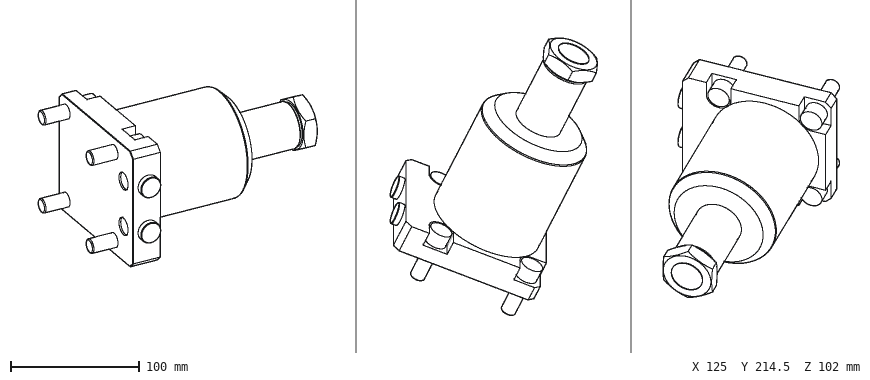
import cadquery as cq
import math


flange_height = 102.0
flange_left = -flange_height / 2
flange_right = 69.0
flange_thickness = 24.5
corner_chamfer = 5.0
front_edge_chamfer = 0.5

screw_offset = 38.8
shank_radius = 6.0
shank_tip_y = -22.3
shank_tip_chamfer = 0.9
head_radius = 9.0
pocket_radius = 10.3
pocket_depth = 11.8
pocket_floor_y = flange_thickness - pocket_depth

port_spacing = 40.0
port_x = 53.8
port_radius = 7.3
port_depth = 1.5
plug_y = 13.5
plug_diameter = 17.8
plug_end_x = 74.0
plug_chamfer = 0.54

barrel_radius = 45.0
barrel_end_y = 123.8
barrel_cone_length = 7.5
barrel_ease_length = 1.0
barrel_ease_depth = 0.5
barrel_end_radius = 37.3

rod_radius = 19.0
rod_end_y = 177.4
rod_chamfer = 0.9
neck_radius = rod_radius - rod_chamfer
hex_start_y = 179.0
hex_end_y = 191.5
hex_flats = 41.0
hex_face_radius = 20.0
hex_chamfer_angle = 30
tip_radius = 13.0
tip_end_y = 192.2

screw_centers = [(x, z) for x in (-screw_offset, screw_offset) for z in (-screw_offset, screw_offset)]
port_heights = (-port_spacing / 2, port_spacing / 2)


def cylinder_y(radius, start_y, end_y, x=0, z=0):
    """Solid cylinder parallel to Y between two Y positions."""
    plane = cq.Plane(origin=(x, start_y, z), xDir=(1, 0, 0), normal=(0, 1, 0))
    return cq.Workplane(plane).circle(radius).extrude(end_y - start_y)


def box_between(low, high):
    """Box spanning two opposite corners."""
    size = [b - a for a, b in zip(low, high)]
    return cq.Workplane("XY").box(*size, centered=False).translate(low)


def revolve_profile(points):
    """Turn an outline of (radius, y) points about the Y axis."""
    return cq.Workplane("XY").polyline(points).close().revolve(360, (0, 0, 0), (0, 1, 0))


def make_flange_plate():
    plate = box_between((flange_left, 0, -flange_height / 2), (flange_right, flange_thickness, flange_height / 2))
    plate = plate.edges("|Y").chamfer(corner_chamfer)
    return plate.faces("<Y").chamfer(front_edge_chamfer)


def make_screw_pocket(x, z):
    """Round-bottomed pocket open to the nearest Z side, and also to the -X side for the left screws."""
    z_side = math.copysign(flange_height / 2, z)
    z_low, z_high = sorted((z, z_side))
    pocket = cylinder_y(pocket_radius, pocket_floor_y, flange_thickness, x, z)
    pocket = pocket.union(
        box_between((x - pocket_radius, pocket_floor_y, z_low), (x + pocket_radius, flange_thickness, z_high))
    )
    if x < 0:
        z_inner = z - math.copysign(pocket_radius, z)
        z_low, z_high = sorted((z_inner, z_side))
        pocket = pocket.union(box_between((flange_left, pocket_floor_y, z_low), (x, flange_thickness, z_high)))
    return pocket


def make_barrel():
    cone_start_y = barrel_end_y - barrel_cone_length
    return revolve_profile([
        (0, flange_thickness),
        (barrel_radius, flange_thickness),
        (barrel_radius, cone_start_y - barrel_ease_length),
        (barrel_radius - barrel_ease_depth, cone_start_y),
        (barrel_end_radius, barrel_end_y),
        (0, barrel_end_y),
    ])


def make_rod():
    return revolve_profile([
        (0, barrel_end_y),
        (rod_radius, barrel_end_y),
        (rod_radius, rod_end_y - rod_chamfer),
        (neck_radius, rod_end_y),
        (neck_radius, hex_start_y),
        (0, hex_start_y),
    ])


def make_hex_end():
    """Hexagon with corners toward +Z and -Z, both faces chamfered, and a low round tip."""
    corner_radius = hex_flats / 2 / math.cos(math.pi / 6)
    chamfer_drop = (corner_radius - hex_face_radius) * math.tan(math.radians(hex_chamfer_angle))
    plane = cq.Plane(origin=(0, hex_start_y, 0), xDir=(0, 0, 1), normal=(0, 1, 0))
    hexagon = cq.Workplane(plane).polygon(6, 2 * corner_radius).extrude(hex_end_y - hex_start_y)
    envelope = revolve_profile([
        (0, hex_start_y),
        (hex_face_radius, hex_start_y),
        (corner_radius, hex_start_y + chamfer_drop),
        (corner_radius, hex_end_y - chamfer_drop),
        (hex_face_radius, hex_end_y),
        (0, hex_end_y),
    ])
    return hexagon.intersect(envelope).union(cylinder_y(tip_radius, hex_end_y, tip_end_y))


def make_plug(z):
    plane = cq.Plane(origin=(flange_right, plug_y, z), xDir=(0, 1, 0), normal=(1, 0, 0))
    plug = cq.Workplane(plane).circle(plug_diameter / 2).extrude(plug_end_x - flange_right)
    return plug.faces(">X").chamfer(plug_chamfer)


def make_housing():
    housing = make_flange_plate()
    for x, z in screw_centers:
        housing = housing.cut(make_screw_pocket(x, z))
        housing = housing.cut(cylinder_y(shank_radius, 0, pocket_floor_y, x, z))
    for z in port_heights:
        housing = housing.cut(cylinder_y(port_radius, 0, port_depth, port_x, z))
        housing = housing.union(make_plug(z))
    housing = housing.union(make_barrel())
    return housing.union(make_rod()).union(make_hex_end())


def make_screw(x, z):
    shank = cylinder_y(shank_radius, shank_tip_y, pocket_floor_y, x, z).faces("<Y").chamfer(shank_tip_chamfer)
    head = cylinder_y(head_radius, pocket_floor_y, flange_thickness, x, z)
    return shank.union(head)


housing = make_housing()
screws = [make_screw(x, z) for x, z in screw_centers]

result = cq.Compound.makeCompound([housing.val(), *[screw.val() for screw in screws]])